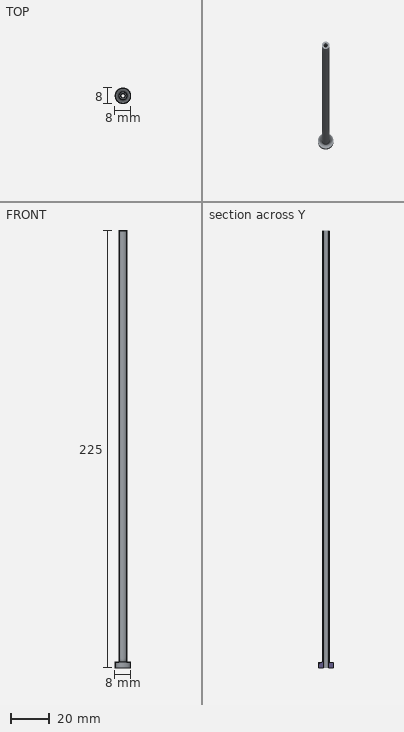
import cadquery as cq

total_length = 225.0
head_diameter = 8.0
head_height = 3.0
shaft_diameter = 4.0
bore_diameter = 2.2
neck_fillet = 0.3


def make_head():
    """Round flange at the bottom of the sleeve."""
    return cq.Workplane("XY").circle(head_diameter / 2).extrude(head_height)


def make_shaft():
    """Long round shaft over the full length, standing on the head's axis."""
    return cq.Workplane("XY").circle(shaft_diameter / 2).extrude(total_length)


def make_bore():
    """Straight bore right through the sleeve."""
    return cq.Workplane("XY").circle(bore_diameter / 2).extrude(total_length)


def round_neck(body):
    """Fillet the inner corner where the shaft meets the top of the head."""
    head_top = body.faces(">Z[-2]")
    return head_top.edges(cq.selectors.RadiusNthSelector(0)).fillet(neck_fillet)


body = make_head().union(make_shaft())
body = round_neck(body)
result = body.cut(make_bore())